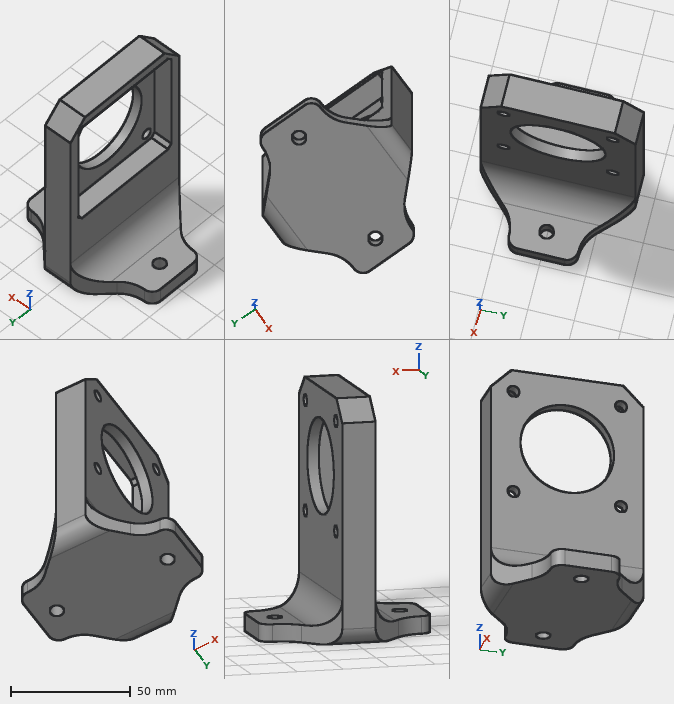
import cadquery as cq

base_length = 74.5
width = 67.0
height = 104.5

plate_thickness = 14.5
base_thickness = 7.5
root_radius = 12.0
top_chamfer = 9.0
bottom_radius = base_thickness

tab_width = 30.0
tab_corner_radius = 4.8
tab_blend_radius = 16.1
tab_hole_diameter = 6.0
tab_hole_spacing = 54.3

pocket_size = 57.0
pocket_margin = (width - pocket_size) / 2
pocket_depth = 9.5
pocket_chamfer = 2.0
pocket_center_z = height - pocket_margin - pocket_size / 2
bore_diameter = 41.0
bolt_hole_diameter = 5.0
bolt_spacing = 47.1

half_length = base_length / 2
half_width = width / 2
half_plate = plate_thickness / 2
half_tab = tab_width / 2

flank_end_x = half_plate + half_width - half_tab


def side_profile():
    """Inverted T in XZ, with rounded roots, through the full width."""
    profile = (
        cq.Workplane("XZ")
        .rect(plate_thickness, height)
        .extrude(half_width, both=True)
        .translate((0, 0, height / 2))
    )
    base = cq.Workplane("XY").box(base_length, width, base_thickness, centered=(True, True, False))
    roots = cq.selectors.BoxSelector(
        (-half_plate - 1, -1, base_thickness - 1),
        (half_plate + 1, 1, base_thickness + 1),
    )
    return profile.union(base).edges("|Y").edges(roots).fillet(root_radius)


def plan_outline():
    """Tabs flaring at 45 degrees to the full plate width."""
    right_side = [
        (half_plate, -half_width),
        (flank_end_x, -half_tab),
        (half_length, -half_tab),
        (half_length, half_tab),
        (flank_end_x, half_tab),
        (half_plate, half_width),
    ]
    left_side = [(-x, -y) for x, y in right_side]
    plan = cq.Workplane("XY").polyline(right_side + left_side).close().extrude(height)
    plan = plan.edges("|Z and (>X or <X)").fillet(tab_corner_radius)
    for x in (-flank_end_x, flank_end_x):
        for y in (-half_tab, half_tab):
            corner = cq.selectors.NearestToPointSelector((x, y, height / 2))
            plan = plan.edges("|Z").edges(corner).fillet(tab_blend_radius)
    return plan


def face_outline():
    """Plate outline in YZ: chamfered top corners and rounded bottom corners."""
    face = cq.Workplane("XY").box(base_length, width, height, centered=(True, True, False))
    face = face.edges("|X and >Z").chamfer(top_chamfer)
    return face.edges("|X and <Z").fillet(bottom_radius)


def motor_seat():
    """Square pocket with a bore and four bolt holes through the plate."""
    pocket = (
        cq.Workplane("XY")
        .box(pocket_depth, pocket_size, pocket_size, centered=(False, True, True))
        .edges("|X")
        .chamfer(pocket_chamfer)
    )
    through_plate = cq.Workplane("YZ")
    bore = through_plate.circle(bore_diameter / 2).extrude(plate_thickness)
    bolts = (
        through_plate.rect(bolt_spacing, bolt_spacing, forConstruction=True)
        .vertices()
        .circle(bolt_hole_diameter / 2)
        .extrude(plate_thickness)
    )
    return pocket.union(bore).union(bolts).translate((-half_plate, 0, pocket_center_z))


def tab_holes():
    """One vertical hole through each tab."""
    centers = [(-tab_hole_spacing / 2, 0), (tab_hole_spacing / 2, 0)]
    return cq.Workplane("XY").pushPoints(centers).circle(tab_hole_diameter / 2).extrude(base_thickness)


body = side_profile().intersect(plan_outline()).intersect(face_outline())
result = body.cut(motor_seat()).cut(tab_holes())